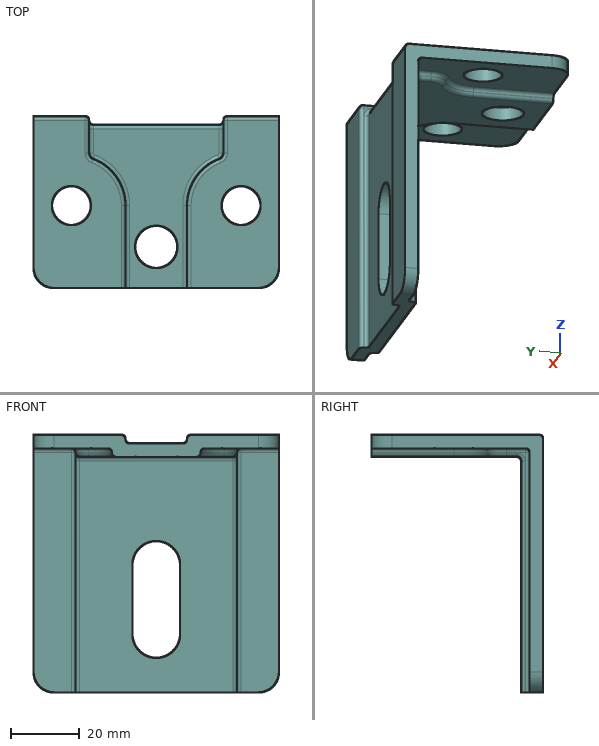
import math
import cadquery as cq

width = 71.5
depth = 50.0
height = 75.0

thickness = 4.0
offset = 2.5
blend_radius = 1.2
bend_radius = 1.2
corner_radius = 6.0

wide_half = 19.5
narrow_half = 8.9
shoulder_radius = 14.55
neck_radius = 1.8
shoulder_y = -26.0

side_hole_diameter = 11.25
side_hole_x = 24.7
middle_hole_diameter = 12.2
middle_hole_from_end = 12.0
slot_width = 13.8
slot_length = 33.9
slot_center_z = -47.9


def corner_block(inset):
    """Block under the outer faces moved inwards, with its bend edge rounded."""
    block = cq.Workplane("XY").box(width, depth - inset, height - inset, centered=(True, False, False))
    block = block.translate((0, -depth, -height))
    return block.edges(">Y and >Z").fillet(bend_radius)


def layer(outer_inset, inner_inset):
    """L-shaped layer of sheet between two depths below the outer faces."""
    return corner_block(outer_inset).cut(corner_block(inner_inset))


def channel_prism(growth):
    """Upright prism over the channel outline, grown outwards sideways."""
    wide = wide_half + growth
    narrow = narrow_half + growth
    shoulder = shoulder_radius - growth
    neck = neck_radius + growth
    shoulder_x = narrow + shoulder
    neck_x = wide - neck

    center_distance = shoulder + neck
    tilt = math.acos((shoulder_x - neck_x) / center_distance)
    neck_y = shoulder_y + center_distance * math.sin(tilt)

    def shoulder_point(angle):
        return (shoulder_x - shoulder * math.cos(angle), shoulder_y + shoulder * math.sin(angle))

    def neck_point(angle):
        return (neck_x + neck * math.cos(angle), neck_y - neck * math.sin(angle))

    half = (
        cq.Workplane("XY").workplane(offset=-height)
        .moveTo(0, 0)
        .lineTo(wide, 0)
        .lineTo(wide, neck_y)
        .threePointArc(neck_point(tilt / 2), neck_point(tilt))
        .threePointArc(shoulder_point(tilt / 2), (narrow, shoulder_y))
        .lineTo(narrow, -depth)
        .lineTo(0, -depth)
        .close()
        .extrude(height)
    )
    return half.union(half.mirror("YZ"))


def blend_walls(body, face_depth, growth):
    """Round the channel wall's edge lying at one depth below the top face.

    Each edge is a smooth chain from the free end to the foot of the upright leg,
    so the fillet follows it from the straight stretch picked here.
    """
    pick_y = (shoulder_y - depth) / 2
    for side in (-1, 1):
        pick = (side * (narrow_half + growth), pick_y, -face_depth)
        body = body.edges(cq.selectors.NearestToPointSelector(pick)).fillet(blend_radius)
    return body


def round_free_corners(body):
    """Round the free corners of both legs."""
    body = body.edges("|Z and <Y").edges("<X or >X").fillet(corner_radius)
    return body.edges("|Y and <Z").edges("<X or >X").fillet(corner_radius)


def top_hole(diameter, x, y):
    """Cutter for a vertical hole through the horizontal leg only."""
    cut_depth = 2 * thickness
    return cq.Workplane("XY").center(x, y).circle(diameter / 2).extrude(-cut_depth)


def upright_slot():
    """Cutter for the vertical slot through the upright leg."""
    slot = cq.Workplane("XZ").center(0, slot_center_z).slot2D(slot_length, slot_width, 90)
    return slot.extrude(2 * thickness)


outer_channel = layer(0, offset).intersect(channel_prism(0))
inner_channel = layer(thickness, thickness + offset).intersect(channel_prism(thickness))
body = layer(0, thickness).cut(outer_channel).union(inner_channel)
body = round_free_corners(body)

for face_depth in (0, offset):
    body = blend_walls(body, face_depth, 0)
for face_depth in (thickness, thickness + offset):
    body = blend_walls(body, face_depth, thickness)

for side in (-1, 1):
    body = body.cut(top_hole(side_hole_diameter, side * side_hole_x, shoulder_y))
body = body.cut(top_hole(middle_hole_diameter, 0, middle_hole_from_end - depth))
result = body.cut(upright_slot())